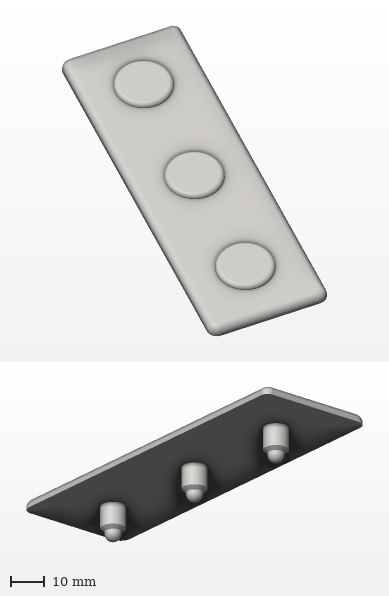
import cadquery as cq
import math

plate_length = 114.3
plate_width = plate_length / 3
plate_thickness = 3.2
top_edge_radius = 2.5
corner_radius = 3.2
small_corner_radius = 2.3

pin_count = 3
pin_pitch = plate_length / pin_count
head_radius = 8.9
head_height = 1.5
shank_radius = 3.9
shank_reach = 7.0
tip_radius = 2.5
tip_neck_length = 0.6
pin_reach = 11.1

tip_equator = -pin_reach + tip_radius
neck_top = tip_equator + tip_neck_length
pin_positions = [(i - (pin_count - 1) / 2) * pin_pitch for i in range(pin_count)]


def make_plate():
    """Plate with rounded corners and top edges, its underside at Z = 0, and a hole for each pin."""
    body = cq.Workplane("XY").box(plate_length, plate_width, plate_thickness, centered=(True, True, False))
    body = body.edges("|Z and (>X or <Y)").fillet(corner_radius)
    tight_corner = cq.selectors.NearestToPointSelector((-plate_length / 2, plate_width / 2, plate_thickness / 2))
    body = body.edges(tight_corner).fillet(small_corner_radius)
    body = body.faces(">Z").edges().fillet(top_edge_radius)
    holes = (
        cq.Workplane("XY")
        .pushPoints([(x, 0) for x in pin_positions])
        .circle(shank_radius)
        .extrude(plate_thickness)
    )
    return body.cut(holes)


def make_pin(x):
    """Revolved pin: quarter-round head on the plate, shank through it, tapered down to a ball tip."""
    diagonal = math.sqrt(0.5)
    head_flat_radius = head_radius - head_height
    head_arc_middle = (head_flat_radius + head_height * diagonal, plate_thickness + head_height * diagonal)
    tip_arc_middle = (tip_radius * diagonal, tip_equator - tip_radius * diagonal)
    return (
        cq.Workplane("XZ")
        .moveTo(0, plate_thickness + head_height)
        .lineTo(head_flat_radius, plate_thickness + head_height)
        .threePointArc(head_arc_middle, (head_radius, plate_thickness))
        .lineTo(shank_radius, plate_thickness)
        .lineTo(shank_radius, -shank_reach)
        .lineTo(tip_radius, neck_top)
        .lineTo(tip_radius, tip_equator)
        .threePointArc(tip_arc_middle, (0, -pin_reach))
        .close()
        .revolve(360, (0, 0, 0), (0, 1, 0))
        .translate((x, 0, 0))
    )


plate = make_plate()
pins = [make_pin(x) for x in pin_positions]

result = cq.Compound.makeCompound([plate.val(), *[pin.val() for pin in pins]])